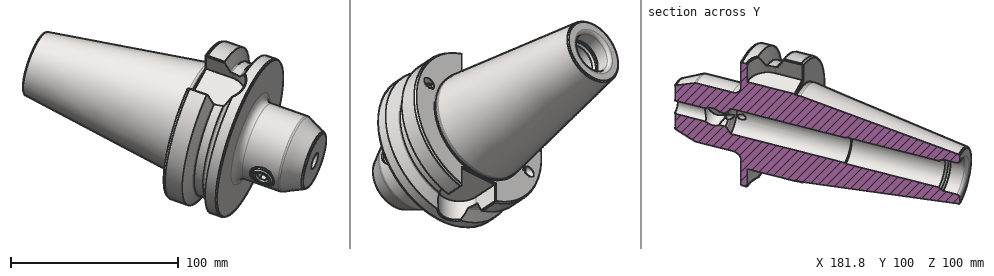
import cadquery as cq
import math

SLACK = 0.2

total_length = 181.8
gauge_x = 101.8
relief_x = 103.0
flange_front_x = 104.7
groove_front_x = 117.3
groove_floor_front_x = 121.3
groove_floor_back_x = 128.0
groove_back_x = 132.2
flange_back_x = 139.8
nose_cone_x = 168.7

taper_large_radius = 34.9
relief_radius = 34.7
taper_slope = 7 / 48
taper_small_radius = taper_large_radius - gauge_x * taper_slope
flange_radius = 50.0
groove_radius = 42.5
nose_radius = 24.0
nose_end_radius = 18.2

taper_end_chamfer = 0.7
root_fillet = 0.5
front_chamfer_length = 1.5
front_chamfer_height = 0.7
back_chamfer_length = 0.9
back_chamfer_height = 0.5
groove_fillet = 0.9
nose_fillet = 5.0
nose_shoulder_fillet = 2.5
nose_end_chamfer = 0.9

slot_width = 25.6
slot_chamfer = 0.7
slot_floor = 35.5
slot_end_x = 135.5

pilot_radius = 12.5
pilot_depth = 10.5
pilot_lip_fillet = 2.2
thread_major_radius = 12.0
thread_major_depth = 12.0
thread_radius = 10.5
thread_end_x = 72.7
core_radius = 10.0
core_step_length = 0.5
seat_x = 148.3
seat_radius = 6.2
through_radius = 5.0
bore_cone_half_angle = 59

coolant_mouth_radius = 3.0
coolant_mouth_depth = 2.9
coolant_radius = 1.6
coolant_tilt = 40
coolant_offset = 41.8
coolant_roll = 20

screw_x = 157.8
screw_radius = 6.7
screw_length = 16.0
screw_top = 24.2
screw_chamfer = 1.0
screw_mouth_radius = 8.0
screw_mouth_offset = 22.5
socket_flats = 6.0
socket_corners = socket_flats / math.cos(math.pi / 6)
socket_depth = 5.5
socket_mouth_radius = 4.4


def ring_edge(x):
    """Selector for the circular edge centred on the axis at station x."""
    return cq.selectors.BoxSelector((x - SLACK, -SLACK, -SLACK), (x + SLACK, SLACK, SLACK))


def make_outer_form():
    """Taper, grooved flange and nose turned about the X axis."""
    form = (
        cq.Workplane("XZ")
        .moveTo(0, 0)
        .lineTo(0, taper_small_radius - taper_end_chamfer)
        .lineTo(taper_end_chamfer, taper_small_radius + taper_end_chamfer * taper_slope)
        .lineTo(gauge_x, taper_large_radius)
        .lineTo(relief_x, relief_radius)
        .lineTo(flange_front_x - root_fillet, relief_radius)
        .radiusArc((flange_front_x, relief_radius + root_fillet), -root_fillet)
        .lineTo(flange_front_x, flange_radius - front_chamfer_height)
        .lineTo(flange_front_x + front_chamfer_length, flange_radius)
        .lineTo(groove_front_x, flange_radius)
        .lineTo(groove_floor_front_x, groove_radius)
        .lineTo(groove_floor_back_x, groove_radius)
        .lineTo(groove_back_x, flange_radius)
        .lineTo(flange_back_x - back_chamfer_length, flange_radius)
        .lineTo(flange_back_x, flange_radius - back_chamfer_height)
        .lineTo(flange_back_x, nose_radius + nose_fillet)
        .radiusArc((flange_back_x + nose_fillet, nose_radius), -nose_fillet)
        .lineTo(nose_cone_x, nose_radius)
        .lineTo(total_length - nose_end_chamfer, nose_end_radius)
        .lineTo(total_length, nose_end_radius - nose_end_chamfer)
        .lineTo(total_length, 0)
        .close()
        .revolve(360, (0, 0, 0), (1, 0, 0))
    )
    for corner_x in (groove_floor_front_x, groove_floor_back_x):
        form = form.edges(ring_edge(corner_x)).fillet(groove_fillet)
    return form.edges(ring_edge(nose_cone_x)).fillet(nose_shoulder_fillet)


def make_drive_slot(side):
    """Round-ended slot cutter on the +Z (side = 1) or -Z (side = -1) flange edge."""
    half_width = slot_width / 2
    center_x = slot_end_x - half_width
    return (
        cq.Workplane("XY", origin=(0, 0, side * slot_floor))
        .moveTo(gauge_x, -half_width)
        .lineTo(center_x, -half_width)
        .threePointArc((slot_end_x, 0), (center_x, half_width))
        .lineTo(gauge_x, half_width)
        .close()
        .extrude(side * flange_radius)
    )


def make_slot_lead_in(side):
    """Cutter that chamfers the slot floor and walls where they meet the flange front face."""
    height = 2 * (flange_radius - slot_floor)
    return (
        cq.Workplane("YZ", origin=(flange_front_x, 0, side * (slot_floor + height / 2)))
        .rect(slot_width + 2 * slot_chamfer, height + 2 * slot_chamfer)
        .extrude(slot_chamfer, taper=45)
    )


def cut_drive_slot(holder, side):
    """Cut one drive slot and chamfer its rim on the flange rim and front face."""
    half_width = slot_width / 2
    rim_z = math.sqrt(flange_radius**2 - half_width**2)
    slot_rim = cq.selectors.BoxSelector(
        (flange_front_x + front_chamfer_length, -half_width - SLACK, side * (rim_z - SLACK)),
        (slot_end_x, half_width + SLACK, side * (flange_radius + SLACK)),
    )
    slotted = holder.cut(make_drive_slot(side))
    return slotted.edges(slot_rim).chamfer(slot_chamfer).cut(make_slot_lead_in(side))


def make_bore():
    """Stepped bore along the whole axis, with a rounded mouth."""
    cone_slope = math.tan(math.radians(bore_cone_half_angle))
    cone_start_x = seat_x - (core_radius - seat_radius) / cone_slope
    thread_lead_in = thread_major_radius - thread_radius
    return (
        cq.Workplane("XZ")
        .moveTo(0, 0)
        .lineTo(0, pilot_radius + pilot_lip_fillet)
        .radiusArc((pilot_lip_fillet, pilot_radius), -pilot_lip_fillet)
        .lineTo(pilot_depth, pilot_radius)
        .lineTo(pilot_depth, thread_major_radius)
        .lineTo(thread_major_depth, thread_major_radius)
        .lineTo(thread_major_depth + thread_lead_in, thread_radius)
        .lineTo(thread_end_x, thread_radius)
        .lineTo(thread_end_x + core_step_length, core_radius)
        .lineTo(cone_start_x, core_radius)
        .lineTo(seat_x, seat_radius)
        .lineTo(seat_x + seat_radius - through_radius, through_radius)
        .lineTo(total_length, through_radius)
        .lineTo(total_length, 0)
        .close()
        .revolve(360, (0, 0, 0), (1, 0, 0))
    )


def make_coolant_hole(roll):
    """Slanted hole with a wide mouth, from the flange front face inward to the bore."""
    tilt = math.radians(coolant_tilt)
    inward = cq.Vector(math.cos(tilt), -math.sin(tilt), 0)
    mouth = cq.Vector(flange_front_x, coolant_offset, 0)
    lead = 2 * coolant_mouth_radius
    start = mouth - inward * lead
    length_to_axis = coolant_offset / math.sin(tilt)
    wide = cq.Solid.makeCylinder(coolant_mouth_radius, lead + coolant_mouth_depth, start, inward)
    narrow = cq.Solid.makeCylinder(coolant_radius, lead + length_to_axis, start, inward)
    return cq.Workplane(wide).union(cq.Workplane(narrow)).rotate((0, 0, 0), (1, 0, 0), roll)


def make_screw_hole():
    """Cross hole through both nose walls, counterbored with a conical step at each mouth."""
    hole = (
        cq.Workplane("XZ", origin=(screw_x, 0, 0))
        .circle(screw_radius)
        .extrude(nose_radius, both=True)
    )
    step_height = screw_mouth_radius - screw_radius
    for side in (1, -1):
        mouth = (
            cq.Workplane("XZ", origin=(screw_x, side * screw_mouth_offset, 0))
            .circle(screw_mouth_radius)
            .extrude(-side * nose_radius)
        )
        step = cq.Solid.makeCone(
            screw_mouth_radius,
            screw_radius,
            step_height,
            (screw_x, side * screw_mouth_offset, 0),
            (0, -side, 0),
        )
        hole = hole.union(mouth).union(cq.Workplane(step))
    return hole


def make_holder():
    """Tool holder: turned form with drive slots, bore, coolant holes and screw hole."""
    holder = make_outer_form()
    for side in (1, -1):
        holder = cut_drive_slot(holder, side)
    holder = holder.cut(make_bore())
    for half_turn in (0, 180):
        holder = holder.cut(make_coolant_hole(half_turn + coolant_roll))
    return holder.cut(make_screw_hole())


def make_screw():
    """Hex-socket set screw in the -Y wall of the nose."""
    body = (
        cq.Workplane("XZ", origin=(screw_x, -screw_top, 0))
        .circle(screw_radius)
        .extrude(-screw_length)
        .faces("<Y or >Y")
        .chamfer(screw_chamfer)
    )
    socket = (
        cq.Workplane("XZ", origin=(screw_x, -screw_top, 0))
        .polygon(6, socket_corners)
        .extrude(-socket_depth)
    )
    mouth = cq.Solid.makeCone(
        socket_mouth_radius, 0, socket_mouth_radius, (screw_x, -screw_top, 0), (0, 1, 0)
    )
    return body.cut(socket).cut(cq.Workplane(mouth))


holder = make_holder()
screw = make_screw()
result = cq.Compound.makeCompound([holder.val(), screw.val()])